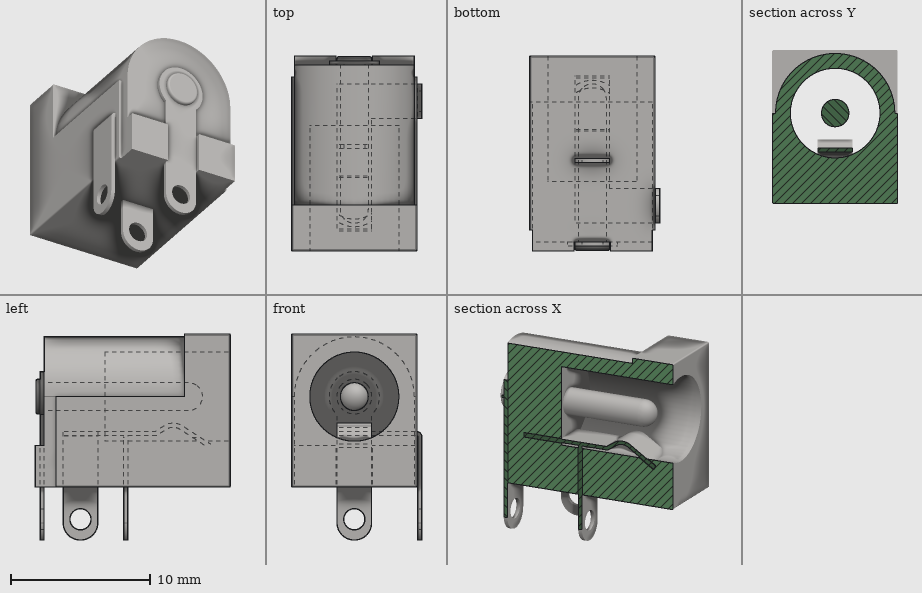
import cadquery as cq
import math


housing_width = 9.0
housing_height = 11.0
flange_depth = 3.3
edge_radius = 0.1

bore_axis_z = 6.5
bore_radius = 3.2
bore_depth = 9.0

barrel_radius = 4.3
barrel_end_y = 13.35
side_wall_end_y = 12.5

rear_block_end_y = 14.0
rear_block_height = 3.0

sheet = 0.3
tab_width = 2.5
tab_length = 3.8
tab_end_radius = tab_width / 2
tab_hole_radius = 0.75
tab_hole_z = -2.3
slot_clearance = 0.05

pin_radius = 1.0
pin_tip_y = 2.0
disc_radius = 1.8
rivet_radius = 1.25
rivet_height = 0.3
rivet_edge_radius = 0.15

leaf_top_z = 4.0
crest_top_z = 4.6
crest_y = 4.1
crest_radius = 1.2
ramp_angle = math.radians(33)
ramp_length = 2.4
middle_tab_y = 7.35
side_tab_y = 9.5
side_tab_gap = 0.05
side_bend_inner_radius = 0.1


def box(x_range, y_range, z_range):
    """Axis-aligned box between the given limits."""
    limits = (x_range, y_range, z_range)
    sizes = [high - low for low, high in limits]
    return cq.Workplane("XY").box(*sizes, centered=False).translate([low for low, high in limits])


def centred(width):
    """X limits of a feature that is symmetric about x = 0."""
    return (-width / 2, width / 2)


def cylinder_y(radius, start_y, end_y):
    """Cylinder on the bore axis, running along +Y."""
    workplane = cq.Workplane("XZ", origin=(0, start_y, bore_axis_z))
    return workplane.circle(radius).extrude(start_y - end_y)


def solder_tab(top_z):
    """Round-ended tab with a hole, centred on x = 0, with one face on y = 0 and the other at y = sheet."""
    half_width = tab_width / 2
    arc_z = tab_end_radius - tab_length
    outline = (
        cq.Workplane("XZ")
        .moveTo(-half_width, top_z)
        .lineTo(-half_width, arc_z)
        .threePointArc((0, -tab_length), (half_width, arc_z))
        .lineTo(half_width, top_z)
        .close()
        .extrude(-sheet)
    )
    hole = cq.Workplane("XZ").center(0, tab_hole_z).circle(tab_hole_radius).extrude(-sheet)
    return outline.cut(hole)


def make_pin_terminal():
    tab_outer_y = barrel_end_y + sheet
    dome_y = pin_tip_y + pin_radius
    pin = cylinder_y(pin_radius, dome_y, barrel_end_y)
    dome = cq.Workplane("XY").sphere(pin_radius).translate((0, dome_y, bore_axis_z))
    disc = cylinder_y(disc_radius, barrel_end_y, tab_outer_y)
    rivet = cylinder_y(rivet_radius, tab_outer_y, tab_outer_y + rivet_height)
    rivet = rivet.faces(">Y").edges().fillet(rivet_edge_radius)
    tab = solder_tab(bore_axis_z).translate((0, barrel_end_y, 0))
    return tab.union(disc).union(rivet).union(pin).union(dome)


def leaf_points(depth):
    """Corner and crest points, front to back, of the leaf surface lying depth below its top."""
    radius = crest_radius - depth
    centre_z = crest_top_z - crest_radius
    flat_z = leaf_top_z - depth
    bend_y = radius * math.sin(ramp_angle)
    bend_z = centre_z + radius * math.cos(ramp_angle)
    front_bend = (crest_y - bend_y, bend_z)
    rear_bend = (crest_y + bend_y, bend_z)
    tip = (
        front_bend[0] - ramp_length * math.cos(ramp_angle),
        front_bend[1] - ramp_length * math.sin(ramp_angle),
    )
    crest = (crest_y, centre_z + radius)
    ramp_foot = (rear_bend[0] + (bend_z - flat_z) / math.tan(ramp_angle), flat_z)
    rear_end = (side_tab_y + tab_width, flat_z)
    return tip, front_bend, crest, rear_bend, ramp_foot, rear_end


def make_leaf():
    tip, front_bend, crest, rear_bend, ramp_foot, rear_end = leaf_points(0)
    low_tip, low_front_bend, low_crest, low_rear_bend, low_ramp_foot, low_rear_end = leaf_points(sheet)
    return (
        cq.Workplane("YZ")
        .moveTo(*tip)
        .lineTo(*front_bend)
        .threePointArc(crest, rear_bend)
        .lineTo(*ramp_foot)
        .lineTo(*rear_end)
        .lineTo(*low_rear_end)
        .lineTo(*low_ramp_foot)
        .lineTo(*low_rear_bend)
        .threePointArc(low_crest, low_front_bend)
        .lineTo(*low_tip)
        .close()
        .extrude(tab_width / 2, both=True)
    )


def make_side_arm():
    """Arm that leaves the leaf toward +X and bends down into the side solder tab."""
    tab_inner_x = housing_width / 2 + side_tab_gap
    outer_radius = side_bend_inner_radius + sheet
    bend_x = tab_inner_x - side_bend_inner_radius
    bend_z = leaf_top_z - outer_radius
    side_tab_end_y = side_tab_y + tab_width
    arm = box((0, bend_x), (side_tab_y, side_tab_end_y), (leaf_top_z - sheet, leaf_top_z))

    ring = (
        cq.Workplane("XZ", origin=(bend_x, side_tab_y, bend_z))
        .circle(outer_radius)
        .circle(side_bend_inner_radius)
        .extrude(-tab_width)
    )
    quadrant = box(
        (bend_x, bend_x + outer_radius),
        (side_tab_y, side_tab_end_y),
        (bend_z, leaf_top_z),
    )
    bend = ring.intersect(quadrant)

    tab = solder_tab(bend_z).rotate((0, 0, 0), (0, 0, 1), -90)
    tab = tab.translate((tab_inner_x, side_tab_y + tab_width / 2, 0))
    return arm.union(bend).union(tab)


def make_spring_contact():
    middle_tab = solder_tab(leaf_top_z).translate((0, middle_tab_y, 0))
    return make_leaf().union(middle_tab).union(make_side_arm())


def make_housing(inserts):
    flange = box(centred(housing_width), (0, flange_depth), (0, housing_height))
    side_walls = box(centred(housing_width), (0, side_wall_end_y), (0, bore_axis_z))
    body = flange.union(side_walls)
    body = body.edges("<Y or (|Y and >Z) or (|Y and <Z)").fillet(edge_radius)

    barrel_width = 2 * barrel_radius
    barrel = cylinder_y(barrel_radius, flange_depth, barrel_end_y)
    rear_block = box(centred(barrel_width), (side_wall_end_y, rear_block_end_y), (0, rear_block_height))
    barrel_base = box(centred(barrel_width), (side_wall_end_y, barrel_end_y), (0, bore_axis_z))
    body = body.union(barrel).union(barrel_base).union(rear_block)

    bore = cylinder_y(bore_radius, 0, bore_depth)
    tab_slot_width = tab_width + 2 * slot_clearance
    tab_slot = box(centred(tab_slot_width), (barrel_end_y, rear_block_end_y), (0, rear_block_height))
    body = body.cut(bore).cut(tab_slot)

    for insert in inserts:
        body = body.cut(insert)
    return body


pin_terminal = make_pin_terminal()
spring_contact = make_spring_contact()
housing = make_housing([pin_terminal, spring_contact])

result = cq.Compound.makeCompound([housing.val(), pin_terminal.val(), spring_contact.val()])